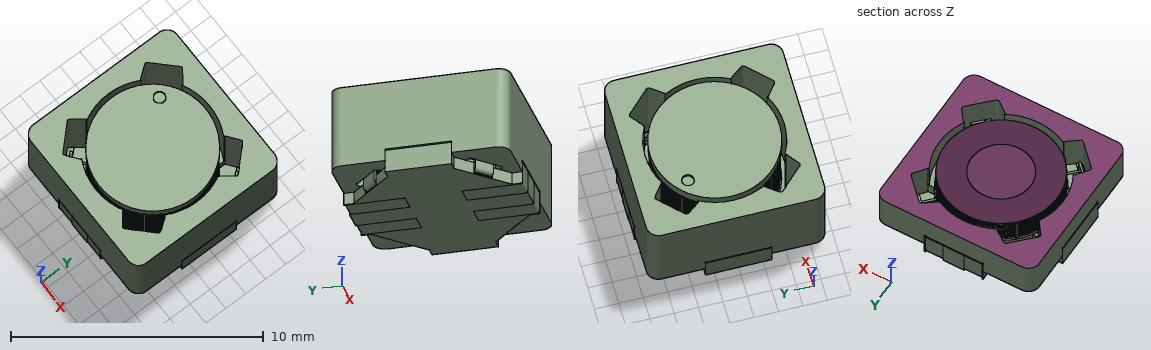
import cadquery as cq
import math

side = 7.3
height = 4.0
half_side = side / 2
diagonal_angles = (45, 135, 225, 315)

base_top = 0.505
wall_half_width = 1.36
wall_top = 0.955
corner_start = 3.235
corner_face_radius = (corner_start + wall_half_width) / math.sqrt(2)

housing_corner_radius = 0.505
bore_radius = 2.85
window_top = 1.015
notch_radius = 3.5
notch_outer_half_width = 0.745
notch_corner_radius = 0.1
notch_mouth_y = 2.555
bore_meets_wall_y = math.sqrt(bore_radius**2 - wall_half_width**2)

flange_radius = 5.3 / 2
spool_radius = 2.75 / 2
flange_thickness = 0.49
mark_diameter = 0.5
mark_depth = 0.1
mark_offset = 1.5
lower_flange_top = base_top + flange_thickness
upper_flange_bottom = height - flange_thickness

wire_diameter = 0.09
wire_radius = wire_diameter / 2
turns = 28
coil_radius = 2.6
lead_radius = 2.59

metal = 0.1
terminal_inner_x = 0.49
terminal_outer_x = 1.3
terminal_width = terminal_outer_x - terminal_inner_x
bend_radius = 0.145
riser_outer_y = 1.605
riser_inner_y = 1.17
clip_width = 0.83
clip_outer_radius = corner_face_radius + metal
clip_top = lower_flange_top + wire_diameter
clip_bend_radius = 0.13
strip_bottom = 0.14
strip_top = strip_bottom + clip_bend_radius
strip_inner_radius = 1.75
groove_radius = 0.095


def radial_box(inner, outer, width, bottom, top, angle):
    """A box reaching out from the Z axis, turned to the given angle."""
    box = cq.Workplane("XY").box(outer - inner, width, top - bottom, centered=(False, True, False))
    return box.translate((inner, 0, bottom)).rotate((0, 0, 0), (0, 0, 1), angle)


def along_diagonal(x, y):
    """The distance of a point along the 45 degree diagonal, and its offset from it."""
    return ((x + y) / math.sqrt(2), (y - x) / math.sqrt(2))


def make_housing():
    block = cq.Workplane("XY").workplane(offset=base_top).rect(side, side).extrude(height - base_top)
    block = block.edges("|Z").fillet(housing_corner_radius)
    block = block.cut(cq.Workplane("XY").circle(bore_radius).extrude(height))
    mouth = along_diagonal(wall_half_width, notch_mouth_y)
    bore_end = along_diagonal(wall_half_width, bore_meets_wall_y)
    notch = (
        cq.Workplane("XY")
        .polyline([
            (bore_end[0], -bore_end[1]),
            (mouth[0], -mouth[1]),
            (notch_radius, -notch_outer_half_width),
            (notch_radius, notch_outer_half_width),
            mouth,
            bore_end,
        ])
        .close()
        .extrude(height)
        .edges("|Z and >X")
        .fillet(notch_corner_radius)
    )
    for angle in diagonal_angles:
        block = block.cut(notch.rotate((0, 0, 0), (0, 0, 1), angle))
    for angle in (0, 90):
        window = radial_box(-half_side, half_side, 2 * wall_half_width, base_top, window_top, angle)
        block = block.cut(window)
    return block


def make_drum():
    outline = [
        (0, base_top),
        (flange_radius, base_top),
        (flange_radius, lower_flange_top),
        (spool_radius, lower_flange_top),
        (spool_radius, upper_flange_bottom),
        (flange_radius, upper_flange_bottom),
        (flange_radius, height),
        (0, height),
    ]
    drum = cq.Workplane("XZ").polyline(outline).close().revolve(360, (0, 0), (0, 1))
    mark = cq.Workplane("XY").circle(mark_diameter / 2).extrude(mark_depth)
    return drum.cut(mark.translate((-mark_offset, mark_offset, height - mark_depth)))


def make_winding():
    pitch = (upper_flange_bottom - lower_flange_top) / turns
    valley_radius = coil_radius - pitch / 2
    profile = cq.Workplane("XZ").moveTo(spool_radius, lower_flange_top)
    profile = profile.lineTo(valley_radius, lower_flange_top)
    for turn in range(turns):
        start = lower_flange_top + turn * pitch
        profile = profile.threePointArc((coil_radius, start + pitch / 2), (valley_radius, start + pitch))
    profile = profile.lineTo(spool_radius, upper_flange_bottom).close()
    winding = profile.revolve(360, (0, 0), (0, 1))
    drop = (
        cq.Workplane("XY", origin=(lead_radius, 0, lower_flange_top))
        .circle(wire_radius)
        .extrude(upper_flange_bottom - lower_flange_top)
    )
    run = (
        cq.Workplane("YZ", origin=(lead_radius, 0, lower_flange_top + wire_radius))
        .circle(wire_radius)
        .extrude(corner_face_radius - lead_radius)
    )
    lead = drop.union(run)
    for angle in diagonal_angles:
        winding = winding.union(lead.rotate((0, 0, 0), (0, 0, 1), angle))
    return winding


def make_front_left_terminal():
    plate = (
        cq.Workplane("YZ", origin=(-terminal_outer_x, 0, 0))
        .moveTo(-half_side, wall_top)
        .lineTo(-half_side, bend_radius)
        .radiusArc((-half_side + bend_radius, 0), -bend_radius)
        .lineTo(-riser_inner_y, 0)
        .lineTo(-riser_inner_y, strip_top)
        .lineTo(-riser_outer_y, strip_top)
        .lineTo(-riser_outer_y, metal)
        .lineTo(-half_side + bend_radius, metal)
        .radiusArc((-half_side + metal, bend_radius), bend_radius - metal)
        .lineTo(-half_side + metal, wall_top)
        .close()
        .extrude(terminal_width)
    )
    clip = (
        cq.Workplane("XZ", origin=(0, clip_width / 2, 0))
        .moveTo(strip_inner_radius, strip_bottom)
        .lineTo(clip_outer_radius - clip_bend_radius, strip_bottom)
        .radiusArc((clip_outer_radius, strip_top), -clip_bend_radius)
        .lineTo(clip_outer_radius, clip_top)
        .lineTo(corner_face_radius, clip_top)
        .lineTo(corner_face_radius, strip_top)
        .lineTo(strip_inner_radius, strip_top)
        .close()
        .extrude(clip_width)
        .rotate((0, 0, 0), (0, 0, 1), 225)
    )
    return plate.union(clip)


def make_terminals():
    front_left = make_front_left_terminal()
    front_right = front_left.mirror("YZ")
    return [front_left, front_right, front_left.mirror("XZ"), front_right.mirror("XZ")]


def make_base(terminals):
    plate = cq.Workplane("XY").rect(2 * corner_start, 2 * corner_start).extrude(base_top)
    plate = plate.edges("|Z").chamfer(corner_start - wall_half_width)
    for angle in (0, 90):
        plate = plate.union(radial_box(-half_side, half_side, 2 * wall_half_width, 0, wall_top, angle))
    seat = cq.Workplane("XY").workplane(offset=base_top).circle(flange_radius).extrude(height)
    base = plate.cut(seat)
    groove = (
        cq.Workplane("XZ", origin=(corner_face_radius, clip_width / 2, strip_bottom))
        .circle(groove_radius)
        .extrude(clip_width)
    )
    for angle in diagonal_angles:
        base = base.cut(groove.rotate((0, 0, 0), (0, 0, 1), angle))
    bend_room = cq.Workplane("XY").box(terminal_width, bend_radius, bend_radius, centered=(True, True, False))
    bend_x = (terminal_inner_x + terminal_outer_x) / 2
    bend_y = half_side - bend_radius / 2
    for x in (-bend_x, bend_x):
        for y in (-bend_y, bend_y):
            base = base.cut(bend_room.translate((x, y, 0)))
    for terminal in terminals:
        base = base.cut(terminal)
    return base


housing = make_housing()
drum = make_drum()
winding = make_winding()
terminals = make_terminals()
base = make_base(terminals)

result = cq.Compound.makeCompound([
    housing.solids().val(),
    drum.solids().val(),
    winding.solids().val(),
    base.solids().val(),
    *[terminal.solids().val() for terminal in terminals],
])